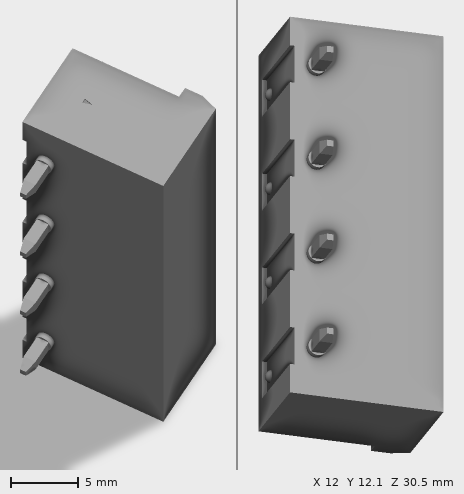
import cadquery as cq

length = 30.48
width = 12.0
body_depth = 7.68
lip_height = 0.9
lip_start = 9.08
lip_slope_run = 1.4
lip_slope_drop = 0.55

contact_count = 4
pitch = length / contact_count

slot_width = 3.0
slot_length = 6.8
slot_depth = 0.37
dome_y = 6.0
dome_base_radius = 0.5
dome_height = slot_depth

pin_x = 2.0
pin_length = 3.5
collar_diameter = 1.43
collar_height = 0.5
pin_side = 1.0
tip_side = 0.5
tip_length = 1.0

arrow_x = 3.05
arrow_y = 3.9
arrow_length = 0.75
arrow_base = 0.4
arrow_depth = 0.1


def make_housing():
    back = body_depth + lip_height
    return (
        cq.Workplane("XY")
        .polyline([
            (0, 0),
            (width, 0),
            (width, back - lip_slope_drop),
            (width - lip_slope_run, back),
            (lip_start, back),
            (lip_start, body_depth),
            (0, body_depth),
        ])
        .close()
        .extrude(length)
    )


def make_slot(z):
    return cq.Workplane("XY").box(
        slot_depth, slot_length, slot_width, centered=(False, False, True)
    ).translate((0, 0, z))


def make_dome(z):
    """Spherical bump rising from the slot floor towards -X."""
    radius = (dome_base_radius**2 + dome_height**2) / (2 * dome_height)
    center_x = slot_depth - dome_height + radius
    return cq.Workplane("XY").sphere(radius).translate((center_x, dome_y, z))


def make_pin(z):
    """Round collar, square shank and tapered tip pointing towards -Y."""
    front = cq.Workplane("XZ", origin=(pin_x, 0, z))
    shank_length = pin_length - tip_length
    collar = front.circle(collar_diameter / 2).extrude(collar_height)
    shank = front.rect(pin_side, pin_side).extrude(shank_length)
    tip = (
        front.workplane(offset=shank_length)
        .rect(pin_side, pin_side)
        .workplane(offset=tip_length)
        .rect(tip_side, tip_side)
        .loft(ruled=True)
    )
    return collar.union(shank).union(tip)


def make_arrow():
    return (
        cq.Workplane("XY", origin=(arrow_x, arrow_y, length))
        .polyline([(0, -arrow_base / 2), (arrow_length, 0), (0, arrow_base / 2)])
        .close()
        .extrude(-arrow_depth)
    )


result = make_housing().cut(make_arrow())
for index in range(contact_count):
    contact_z = (index + 0.5) * pitch
    result = result.cut(make_slot(contact_z))
    result = result.union(make_dome(contact_z))
    result = result.union(make_pin(contact_z))